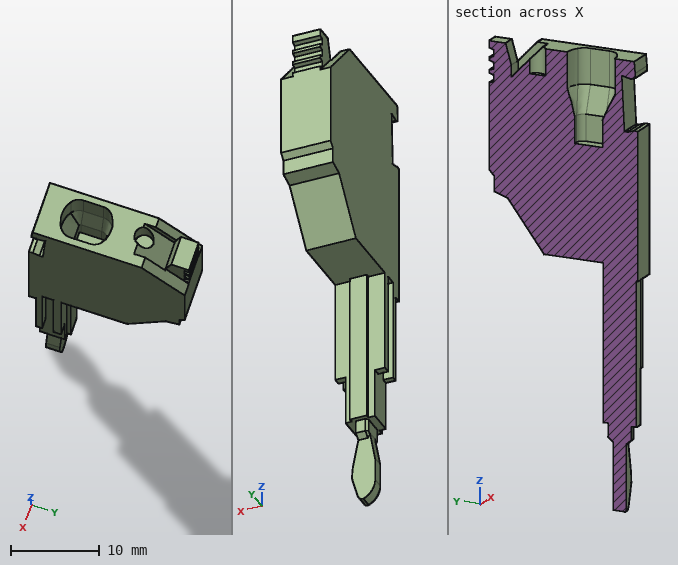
import cadquery as cq

width = 6.15
depth = 18.5
height = 53.35
housing_bottom = 29.05
front_skirt_bottom = 27.45
slope_top_y = 13.4
slope_bottom_z = 47.9

lever_left, lever_right = 1.3, 4.7
lever_front_top = 16.45
lever_front_y = 15.75
lever_bend_z = 50.9
slot_left, slot_right = 1.1, 4.85
slot_front_y = 12.05
tooth_gap_count = 3
tooth_pitch = 1.5
tooth_gap_top = 52.5
tooth_gap_mouth = 1.1
tooth_gap_root = 0.75
tooth_gap_depth = 0.55

screw_x, screw_y = 2.55, 12.5
screw_diameter = 2.2
screw_depth = 3.2

funnel_x, funnel_y = 3.05, 5.8
funnel_radius = 2.95
funnel_half_width = 2.3
funnel_corner = 1.5
mouth_depth = 4.25
funnel_depth = 7.45
pocket_left, pocket_right = 1.45, 4.25
pocket_front, pocket_back = 4.45, 7.85
pocket_back_corner = 0.8
pocket_front_corner = 0.15
pocket_depth = 10.65

core_left, core_right = 1.25, 4.85
core_front, core_back = 0.85, 3.85
key_left, key_right = 2.05, 4.1
key_front, key_back = 0.15, 4.3
front_wing_back = 1.6
rear_wing_front = 2.95
stem_bottom = 10.2
wing_bottom = 16.35

collar_left, collar_right = 2.2, 3.65
collar_front, collar_back = 0.8, 3.75
collar_shoulder = 8.6
collar_bottom = 8.0
collar_chamfer = 0.25
blade_front, blade_back = 1.45, 3.1
blade_left, blade_right = 1.55, 4.45
blade_tip_x = 3.0
blade_left_top = 5.0
blade_left_bottom = 2.2
blade_right_bottom = 3.1
blade_right_shoulder = (4.3, 4.5)
tip_left_middle = (2.0, 0.8)
tip_right_middle = (3.4, 0.15)
tip_right_end = (3.75, 0.65)
blade_chamfer = 0.2

overlap = 0.55


def box(x_range, y_range, z_range):
    """Box between two limits on each axis."""
    size = [end - start for start, end in (x_range, y_range, z_range)]
    corner = (x_range[0], y_range[0], z_range[0])
    return cq.Workplane("XY").box(*size, centered=False).translate(corner)


def side_plate(outline, left, right):
    """Closed (Y, Z) outline extruded in X from left to right."""
    plane = cq.Workplane("YZ", origin=(left, 0, 0))
    return plane.polyline(outline).close().extrude(right - left)


def make_housing():
    """Side profile of the housing across the full width."""
    outline = [
        (slope_top_y, height),
        (depth, slope_bottom_z),
        (depth, 38.1),
        (17.9, 37.4),
        (17.9, 35.6),
        (16.2, 35.05),
        (11.7, housing_bottom),
        (core_front, housing_bottom),
        (core_front, front_skirt_bottom),
        (0, front_skirt_bottom),
        (0, 45.15),
        (0.5, 45.2),
        (1.3, 44.95),
        (1.65, 44.95),
        (2.0, 51.45),
        (0.85, 51.15),
        (0.3, 51.4),
        (0.3, 52.0),
        (0.45, height),
    ]
    return side_plate(outline, 0, width)


def make_slot():
    """Slot in front of the lever, its floor parallel to the rear slope."""
    slope = (height - slope_bottom_z) / (depth - slope_top_y)
    floor_end_z = height - slope * (lever_front_y - slot_front_y)
    outline = [
        (slot_front_y, height),
        (lever_front_y, height),
        (lever_front_y, floor_end_z),
    ]
    return side_plate(outline, slot_left, slot_right)


def make_lever():
    """Tapered lever rising from the rear slope, with grip teeth on its back."""
    root_z = slope_bottom_z - overlap
    outline = [
        (depth, height),
        (lever_front_top, height),
        (lever_front_y, lever_bend_z),
        (lever_front_y, root_z),
        (depth, root_z),
    ]
    lever = side_plate(outline, lever_left, lever_right)
    flank = (tooth_gap_mouth - tooth_gap_root) / 2
    for i in range(tooth_gap_count):
        top = tooth_gap_top - i * tooth_pitch
        gap = [
            (depth, top),
            (depth - tooth_gap_depth, top - flank),
            (depth - tooth_gap_depth, top - flank - tooth_gap_root),
            (depth, top - tooth_gap_mouth),
        ]
        lever = lever.cut(side_plate(gap, lever_left, lever_right))
    return lever


def make_screw_hole():
    """Blind cylinder cutter, open at the top face."""
    plane = cq.Workplane("XY", origin=(screw_x, screw_y, height))
    return plane.circle(screw_diameter / 2).extrude(-screw_depth)


def make_wire_funnel():
    """Cutter made of the straight mouth, the taper below it and the pocket at the bottom."""
    mouth_bottom = height - mouth_depth
    taper_bottom = height - funnel_depth
    mouth = (
        cq.Workplane("XY", origin=(funnel_x, funnel_y, mouth_bottom))
        .circle(funnel_radius)
        .extrude(mouth_depth)
        .intersect(
            box(
                (funnel_x - funnel_half_width, funnel_x + funnel_half_width),
                (funnel_y - funnel_radius, funnel_y + funnel_radius),
                (mouth_bottom, height),
            )
        )
        .edges("|Z and (<X or >X)")
        .fillet(funnel_corner)
    )
    pocket = (
        box((pocket_left, pocket_right), (pocket_front, pocket_back), (height - pocket_depth, taper_bottom))
        .edges("|Z and >Y")
        .fillet(pocket_back_corner)
        .edges("|Z and <Y")
        .fillet(pocket_front_corner)
    )
    mouth_rim = mouth.faces("<Z").wires().val()
    pocket_rim = pocket.faces(">Z").wires().val()
    taper = cq.Workplane(cq.Solid.makeLoft([mouth_rim, pocket_rim], True))
    return mouth.union(taper).union(pocket)


def make_stem():
    """Core with its key along the middle and wings flush with the housing sides."""
    top = housing_bottom + overlap
    core = box((core_left, core_right), (core_front, core_back), (stem_bottom, top))
    key = box((key_left, key_right), (key_front, key_back), (stem_bottom, top))
    stem = core.union(key)
    for wing in ((core_front, front_wing_back), (rear_wing_front, core_back)):
        stem = stem.union(box((0, width), wing, (wing_bottom, top)))
    return stem


def make_collar():
    """Neck of the pin, with sloped shoulders down to the blade thickness."""
    outline = [
        (collar_front, stem_bottom + overlap),
        (collar_front, collar_shoulder),
        (blade_front, collar_bottom),
        (blade_back, collar_bottom),
        (collar_back, collar_shoulder),
        (collar_back, stem_bottom + overlap),
    ]
    collar = side_plate(outline, collar_left, collar_right)
    return collar.faces("<X").edges("not >Z").chamfer(collar_chamfer)


def make_blade():
    """Leaf shape in X and Z, chamfered along the front of its left side."""
    blade = (
        cq.Workplane("XZ", origin=(0, blade_back, 0))
        .moveTo(collar_right, collar_shoulder)
        .lineTo(collar_left, collar_shoulder)
        .lineTo(blade_left, blade_left_top)
        .lineTo(blade_left, blade_left_bottom)
        .threePointArc(tip_left_middle, (blade_tip_x, 0))
        .threePointArc(tip_right_middle, tip_right_end)
        .lineTo(blade_right, blade_right_bottom)
        .lineTo(*blade_right_shoulder)
        .lineTo(collar_right, collar_bottom)
        .close()
        .extrude(blade_back - blade_front)
    )
    left_half = cq.selectors.BoxSelector(
        (0, blade_front - overlap, -overlap),
        (blade_tip_x - overlap, blade_front + overlap, collar_bottom),
    )
    return blade.faces("<Y").edges(left_half).chamfer(blade_chamfer)


housing = make_housing().cut(make_slot()).cut(make_screw_hole()).cut(make_wire_funnel())
result = housing.union(make_lever()).union(make_stem()).union(make_collar()).union(make_blade())